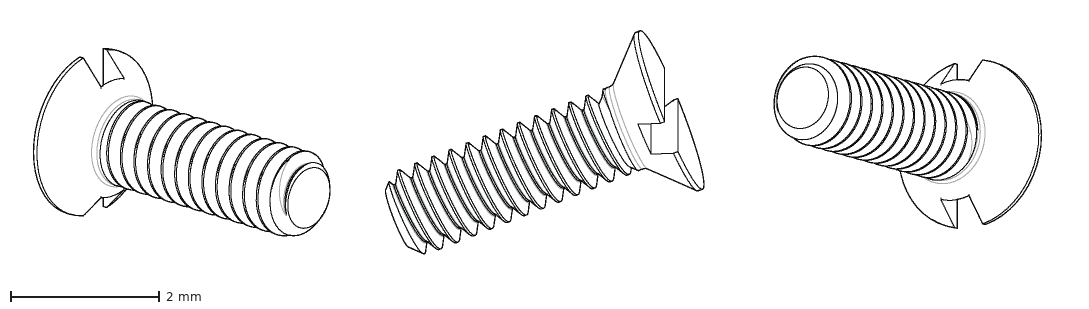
import cadquery as cq
import math

overall_length = 4.0

head_radius = 2.3 / 2
rim_length = 0.065
neck_fillet = 0.1
slot_width = 0.46
slot_depth = 0.39

thread_radius = 1.2 / 2
pitch = 0.25
crest_flat = pitch / 8
root_fillet = 0.11 * pitch
root_slope_angle = math.radians(25)
foot_slope_angle = math.radians(12)
flank_angle = math.radians(30)
flank_slope = math.tan(flank_angle)
groove_apex_radius = thread_radius - (pitch - crest_flat) / 2 / flank_slope
fillet_center_radius = groove_apex_radius + root_fillet / math.sin(flank_angle)
root_radius = fillet_center_radius - root_fillet * math.cos(root_slope_angle)
thread_depth = thread_radius - root_radius
crest_position = 0.667
ridge_start_angle = 50
ridge_start = crest_position + pitch * ridge_start_angle / 360
ridge_embed = 0.01
runout_start = 0.715

tip_radius = 0.42

cone_end = rim_length + head_radius - thread_radius
runout_end = runout_start + thread_depth


def revolve_about_x(outline):
    """Revolve a closed (x, radius) outline about the X axis."""
    return outline.revolve(360, (0, 0, 0), (1, 0, 0))


def make_core():
    """Rod at the thread root radius, still without its tip chamfer."""
    return cq.Workplane("YZ").circle(root_radius).extrude(overall_length)


def make_thread_ridge():
    """Helical ridge, slightly sunk into the core; it overshoots the tip and is trimmed later."""
    foot_radius = root_radius - ridge_embed
    half_crest = crest_flat / 2
    half_foot = pitch / 2 - root_fillet * math.sin(foot_slope_angle)
    fillet_foot_radius = fillet_center_radius - root_fillet * math.cos(foot_slope_angle)
    tangent_radius = fillet_center_radius - root_fillet * math.sin(flank_angle)
    half_tangent = half_crest + (thread_radius - tangent_radius) * flank_slope
    ridge_length = overall_length + pitch - ridge_start
    helix = cq.Wire.makeHelix(pitch, ridge_length, root_radius)
    ridge = (
        cq.Workplane("XZ")
        .moveTo(foot_radius, -half_foot)
        .lineTo(fillet_foot_radius, -half_foot)
        .radiusArc((tangent_radius, -half_tangent), root_fillet)
        .lineTo(thread_radius, -half_crest)
        .lineTo(thread_radius, half_crest)
        .lineTo(tangent_radius, half_tangent)
        .radiusArc((fillet_foot_radius, half_foot), root_fillet)
        .lineTo(foot_radius, half_foot)
        .close()
        .sweep(cq.Workplane(helix), isFrenet=True)
    )
    ridge = ridge.rotate((0, 0, 0), (0, 1, 0), 90).rotate((0, 0, 0), (1, 0, 0), ridge_start_angle)
    return ridge.translate((ridge_start, 0, 0))


def make_tip_envelope():
    """Space that the shank may fill: clear of the crests, closing in to the tip chamfer."""
    return revolve_about_x(
        cq.Workplane("XY")
        .lineTo(0, head_radius)
        .lineTo(overall_length - (head_radius - tip_radius), head_radius)
        .lineTo(overall_length, tip_radius)
        .lineTo(overall_length, 0)
        .close()
    )


def make_head():
    """Countersunk head and neck, with a 45 degree cone that closes the thread groove."""
    tangent_length = neck_fillet * math.tan(math.radians(45 / 2))
    diagonal_step = tangent_length * math.cos(math.radians(45))
    fillet_end = cone_end + tangent_length
    return revolve_about_x(
        cq.Workplane("XY")
        .lineTo(0, head_radius)
        .lineTo(rim_length, head_radius)
        .lineTo(cone_end - diagonal_step, thread_radius + diagonal_step)
        .radiusArc((fillet_end, thread_radius), -neck_fillet)
        .lineTo(runout_start, thread_radius)
        .lineTo(runout_end, root_radius)
        .lineTo(runout_end, 0)
        .close()
    )


def make_slot():
    """Driver slot across the head face, running along Z."""
    return cq.Workplane("XY").box(
        slot_depth, slot_width, 2 * head_radius, centered=(False, True, True)
    )


tip_envelope = make_tip_envelope()
core = make_core().intersect(tip_envelope)
ridge = make_thread_ridge().intersect(tip_envelope)
result = make_head().union(core).union(ridge).cut(make_slot())